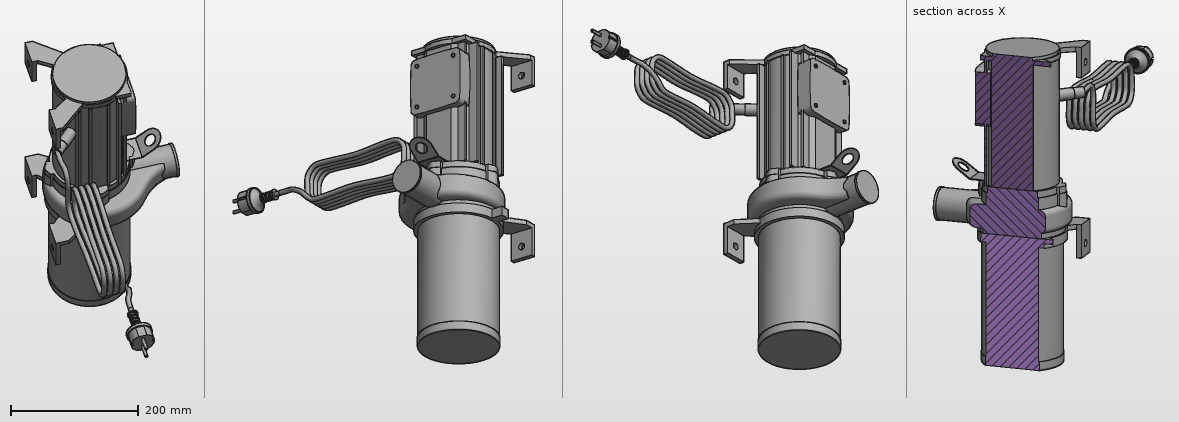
import cadquery as cq
import math

TOTAL_HEIGHT = 512.0
TUBE_COLLAR_HEIGHT = 15.0
BASE_RING_HEIGHT = 15.5
BASE_TOP = 216.7
VOLUTE_BOTTOM = 223.7
VOLUTE_HEIGHT = 40.0
VOLUTE_MID = VOLUTE_BOTTOM + VOLUTE_HEIGHT / 2
COVER_BOTTOM = 283.0
CASING_TOP = 293.7
CAP_HEIGHT = 5.0
BRACKET_TOP = TOTAL_HEIGHT - CAP_HEIGHT

BRACKET_THICKNESS = 8.0
FOOT_FACE_Y = -80.0
FOOT_OUTER_X = 90.0
FOOT_INNER_X = 50.0
FOOT_HOLE_X = 70.0
FOOT_HOLE_DIAMETER = 11.0
UPPER_HOLE_DROP = 29.0
UPPER_FOOT_HEIGHT = 50.0
LOWER_FOOT_HEIGHT = 55.0
LOWER_HOLE_DROP = 34.8

TUBE_RADIUS = 64.5
TUBE_COLLAR_RADIUS = 65.5
TUBE_EDGE_FILLET = 3.0
BASE_RING_RADIUS = 71.0
STOP_BLOCK_WIDTH = 17.0
STOP_BLOCK_Y = -1.0

NECK_RADIUS = 68.0
VOLUTE_RADIUS = 83.3
VOLUTE_CENTER = (7.0, 8.0)
VOLUTE_FILLET = 10.0
SCROLL_START_ANGLE = 100.0
WEB_START_ANGLE = 55.0
WEB_END = (24.0, 117.0)
WEB_END_WIDTH = 12.0
PIPE_DIAMETER = 52.0
PIPE_RIM_DIAMETER = 54.08
PIPE_RIM_LENGTH = 4.0
PIPE_END_Y = 140.0
RING_RADIUS = 64.5
COVER_RADIUS = 63.0
LUG_REACH = 73.5
COVER_LUG_REACH = 72.5
LUG_HALF_WIDTH = 13.0
LUG_SHOULDER = 67.0
LUG_TIP_HALF_WIDTH = 6.0
LUG_TIP_BULGE = 2.0

EYE_WIDTH = 40.0
EYE_HOLE_DIAMETER = 20.0
EYE_THICKNESS = 1.6
EYE_BEND_Y = 81.3
EYE_SLOPE = 35.5
EYE_LENGTH = 42.8

BARREL_RADIUS = 58.0
BARREL_BACK_Y = 53.0
CAP_DIAMETER = 115.53
PLATE_RADIUS = 60.0
PLATE_HALF_WIDTH = 52.5
PLATE_BACK_Y = 53.8
FIN_THICKNESS = 4.5
FINS = [(-33.0, 61.5), (-15.0, 60.0), (15.0, 60.0), (33.0, 61.5), (45.2, 47.0)]

BOX_HALF_SIZE = 48.5
BOX_BOW = 1.5
BOX_CORNER_RADIUS = 8.5
BOX_CENTER_Z = 437.0
BOX_BACK_Y = 62.5
BOX_FRONT_Y = 36.5
BOX_SCREW_DIAMETER = 6.3
BOX_SCREW_SPACING = 70.5
BOX_SCREW_HEIGHT = 1.5

GLAND_Z = 427.0
GLAND_BOSS_DIAMETER = 19.16
GLAND_NUT_DIAMETER = 17.53
GLAND_BOSS_END = 86.4
GLAND_NUT_END = 104.6
GLAND_ANGLE = -45.0

CABLE_DIAMETER = 8.09
CABLE_START_X = 70.0
CABLE_START_Y = -73.0
CABLE_STRAIGHT_END_X = 90.0
COIL_LEFT = 128.5
COIL_RIGHT = 320.0
COIL_BOTTOM = 346.5
COIL_TOP = 410.5
COIL_CORNER = 24.0
COIL_WAIST = 4.0
COIL_START_Y = -71.0
COIL_PITCH = 10.2
COIL_TURNS = 4

PLUG_Y = -37.2
PLUG_Z = 381.8
PLUG_START_X = 374.0
GRIP_START_X = 383.5
GRIP_END_X = 408.0
FLANGE_START_X = 419.7
FLANGE_END_X = 425.5
PLUG_FACE_X = 444.0
PIN_END_X = 465.4
GRIP_DIAMETER = 12.5
GRIP_RIB_DIAMETER = 15.0
GRIP_COLLAR_DIAMETER = 17.0
GRIP_RIB_WIDTH = 2.5
GRIP_RIB_PITCH = 6.5
GRIP_RIBS = 3
PLUG_NECK_DIAMETER = 17.0
PLUG_FLANGE_DIAMETER = 41.5
FLARE_MIDDLE = (415.0, 12.5)
FLARE_STEP = 2.0
PLUG_BODY_DIAMETER = 38.0
PIN_DIAMETER = 5.0
PIN_SPACING = 19.0
PIN_CHAMFER = 1.0
PLUG_FLAT_WIDTH = 17.0
PLUG_FLAT_DEPTH = 1.2
EARTH_SLOT_WIDTH = 4.0
EARTH_SLOT_DEPTH = 2.5
EARTH_SLOT_LENGTH = 15.5


def cylinder(radius, bottom, top):
    return cq.Workplane("XY", origin=(0, 0, bottom)).circle(radius).extrude(top - bottom)


def box(x0, x1, y0, y1, z0, z1):
    return cq.Workplane("XY", origin=(x0, y0, z0)).box(x1 - x0, y1 - y0, z1 - z0, centered=False)


def rod_x(diameter, x0, x1, y, z):
    return cq.Workplane("YZ", origin=(x0, y, z)).circle(diameter / 2).extrude(x1 - x0)


def rod_y(diameter, y0, y1, x, z):
    return cq.Workplane("XZ", origin=(x, y0, z)).circle(diameter / 2).extrude(y0 - y1)


def bracket_feet(top, arm_outline, foot_height, hole_drop):
    """Two mirrored arms, each bent down into a drilled mounting foot."""
    arm = cq.Workplane("XY", origin=(0, 0, top - BRACKET_THICKNESS)).polyline(arm_outline).close()
    foot_back = FOOT_FACE_Y + BRACKET_THICKNESS
    foot = box(FOOT_INNER_X, FOOT_OUTER_X, FOOT_FACE_Y, foot_back, top - foot_height, top)
    hole = rod_y(FOOT_HOLE_DIAMETER, FOOT_FACE_Y, foot_back, FOOT_HOLE_X, top - hole_drop)
    right = arm.extrude(BRACKET_THICKNESS).union(foot).cut(hole)
    return right.union(right.mirror("YZ"))


def make_base():
    collar = cylinder(TUBE_COLLAR_RADIUS, 0, TUBE_COLLAR_HEIGHT).faces("<Z").edges().fillet(TUBE_EDGE_FILLET)
    ring_bottom = BASE_TOP - BASE_RING_HEIGHT
    tube = cylinder(TUBE_RADIUS, 0, ring_bottom)
    ring = cylinder(BASE_RING_RADIUS, ring_bottom, BASE_TOP)
    block_front = STOP_BLOCK_Y - STOP_BLOCK_WIDTH / 2
    block_back = STOP_BLOCK_Y + STOP_BLOCK_WIDTH / 2
    stop_block = box(-FOOT_OUTER_X, 0, block_front, block_back, ring_bottom, BASE_TOP)
    arm_outline = [
        (40, 0),
        (66.5, -25),
        (FOOT_OUTER_X, -58.5),
        (FOOT_OUTER_X, FOOT_FACE_Y),
        (FOOT_INNER_X, FOOT_FACE_Y),
        (FOOT_INNER_X, -72),
        (38, -60),
        (20, -40),
    ]
    feet = bracket_feet(BASE_TOP, arm_outline, LOWER_FOOT_HEIGHT, LOWER_HOLE_DROP)
    return collar.union(tube).union(ring).union(stop_block).union(feet)


def lugged_ring(radius, lug_reach, bottom, top):
    """Round ring with four pointed clamping lugs at right angles."""
    ring = cylinder(radius, bottom, top)
    tip_start = lug_reach - LUG_TIP_BULGE
    lug = (
        cq.Workplane("XY", origin=(0, 0, bottom))
        .moveTo(0, -LUG_HALF_WIDTH)
        .lineTo(LUG_SHOULDER, -LUG_HALF_WIDTH)
        .lineTo(tip_start, -LUG_TIP_HALF_WIDTH)
        .threePointArc((lug_reach, 0), (tip_start, LUG_TIP_HALF_WIDTH))
        .lineTo(LUG_SHOULDER, LUG_HALF_WIDTH)
        .lineTo(0, LUG_HALF_WIDTH)
        .close()
        .extrude(top - bottom)
    )
    for quarter in range(4):
        ring = ring.union(lug.rotate((0, 0, 0), (0, 0, 1), 90 * quarter))
    return ring


def make_volute():
    def scroll_point(angle):
        x = VOLUTE_CENTER[0] + VOLUTE_RADIUS * math.cos(math.radians(angle))
        y = VOLUTE_CENTER[1] + VOLUTE_RADIUS * math.sin(math.radians(angle))
        return (x, y)

    scroll = (
        cq.Workplane("XY", origin=(0, 0, VOLUTE_BOTTOM))
        .moveTo(*scroll_point(SCROLL_START_ANGLE))
        .threePointArc(scroll_point(225), scroll_point(WEB_START_ANGLE))
        .tangentArcPoint(WEB_END, relative=False)
        .lineTo(WEB_END[0] - WEB_END_WIDTH, WEB_END[1])
        .close()
        .extrude(VOLUTE_HEIGHT)
        .faces("<Z or >Z")
        .edges("%CIRCLE")
        .fillet(VOLUTE_FILLET)
    )
    pipe = rod_y(PIPE_DIAMETER, VOLUTE_CENTER[1], PIPE_END_Y, 0, VOLUTE_MID)
    rim = rod_y(PIPE_RIM_DIAMETER, PIPE_END_Y - PIPE_RIM_LENGTH, PIPE_END_Y, 0, VOLUTE_MID)
    return scroll.union(pipe).union(rim)


def make_lifting_eye():
    """Flat tongue on the casing top, bent up at the back into a rounded eye."""
    half = EYE_WIDTH / 2
    tongue = box(-half, half, BARREL_BACK_Y, EYE_BEND_Y, CASING_TOP, CASING_TOP + EYE_THICKNESS)
    straight = EYE_LENGTH - half
    slope = math.radians(EYE_SLOPE)
    tilted = cq.Plane(
        origin=(0, EYE_BEND_Y, CASING_TOP),
        xDir=(1, 0, 0),
        normal=(0, -math.sin(slope), math.cos(slope)),
    )
    eye = (
        cq.Workplane(tilted)
        .moveTo(-half, 0)
        .lineTo(half, 0)
        .lineTo(half, straight)
        .threePointArc((0, EYE_LENGTH), (-half, straight))
        .close()
        .extrude(EYE_THICKNESS)
    )
    hole = cq.Workplane(tilted).center(0, straight).circle(EYE_HOLE_DIAMETER / 2).extrude(EYE_THICKNESS)
    return tongue.union(eye.cut(hole))


def make_casing():
    neck = cylinder(NECK_RADIUS, BASE_TOP, VOLUTE_MID)
    clamp_ring = lugged_ring(RING_RADIUS, LUG_REACH, VOLUTE_MID, COVER_BOTTOM)
    cover = lugged_ring(COVER_RADIUS, COVER_LUG_REACH, COVER_BOTTOM, CASING_TOP)
    return neck.union(make_volute()).union(clamp_ring).union(cover).union(make_lifting_eye())


def make_barrel():
    plate_bottom = BRACKET_TOP - BRACKET_THICKNESS
    barrel = cylinder(BARREL_RADIUS, CASING_TOP, plate_bottom)
    for y, tip in FINS:
        half = FIN_THICKNESS / 2
        barrel = barrel.union(box(-tip, tip, y - half, y + half, CASING_TOP, plate_bottom))
    behind = box(-BARREL_RADIUS, BARREL_RADIUS, BARREL_BACK_Y, 2 * BARREL_BACK_Y, CASING_TOP, plate_bottom)
    return barrel.cut(behind)


def make_upper_bracket():
    plate_bottom = BRACKET_TOP - BRACKET_THICKNESS
    disc = cylinder(PLATE_RADIUS, plate_bottom, BRACKET_TOP)
    back = box(-PLATE_HALF_WIDTH, PLATE_HALF_WIDTH, 0, PLATE_BACK_Y, plate_bottom, BRACKET_TOP)
    arm_outline = [
        (30, 0),
        (51.5, -24),
        (FOOT_OUTER_X, -68),
        (FOOT_OUTER_X, FOOT_FACE_Y),
        (FOOT_INNER_X, FOOT_FACE_Y),
        (FOOT_INNER_X, -70),
        (35, -48.5),
        (15, -30),
    ]
    feet = bracket_feet(BRACKET_TOP, arm_outline, UPPER_FOOT_HEIGHT, UPPER_HOLE_DROP)
    cap = cylinder(CAP_DIAMETER / 2, BRACKET_TOP, TOTAL_HEIGHT)
    return disc.union(back).union(feet).union(cap)


def make_terminal_box():
    corner = BOX_HALF_SIZE - BOX_BOW
    side = BOX_HALF_SIZE
    housing = (
        cq.Workplane("XZ", origin=(0, BOX_BACK_Y, BOX_CENTER_Z))
        .moveTo(-corner, -corner)
        .threePointArc((0, -side), (corner, -corner))
        .threePointArc((side, 0), (corner, corner))
        .threePointArc((0, side), (-corner, corner))
        .threePointArc((-side, 0), (-corner, -corner))
        .close()
        .extrude(BOX_BACK_Y - BOX_FRONT_Y)
        .edges("|Y")
        .fillet(BOX_CORNER_RADIUS)
    )
    screws = (
        cq.Workplane("XZ", origin=(0, BOX_BACK_Y, BOX_CENTER_Z))
        .rect(BOX_SCREW_SPACING, BOX_SCREW_SPACING, forConstruction=True)
        .vertices()
        .circle(BOX_SCREW_DIAMETER / 2)
        .extrude(-BOX_SCREW_HEIGHT)
    )
    return housing.union(screws)


def make_gland():
    boss = rod_x(GLAND_BOSS_DIAMETER, 0, GLAND_BOSS_END, 0, GLAND_Z)
    nut = rod_x(GLAND_NUT_DIAMETER, GLAND_BOSS_END, GLAND_NUT_END, 0, GLAND_Z)
    gland = boss.union(nut).rotate((0, 0, 0), (0, 0, 1), GLAND_ANGLE)
    return gland.cut(rod_x(CABLE_DIAMETER, CABLE_START_X, CABLE_STRAIGHT_END_X, CABLE_START_Y, GLAND_Z))


def make_motor():
    return make_barrel().union(make_upper_bracket()).union(make_terminal_box()).union(make_gland())


def coil_point(x, z, turn):
    """Point on the coil, which advances in Y by one pitch per turn."""
    return cq.Vector(x, COIL_START_Y + COIL_PITCH * turn, z)


def cable_path(points, start_tangent, end_tangent):
    """Smooth curve through the points, with a set direction at each end."""
    return cq.Edge.makeSpline(points, tangents=[start_tangent, end_tangent])


CORNER_CUT = COIL_CORNER * (1 - math.sqrt(0.5))
COIL_MIDDLE = (COIL_LEFT + COIL_RIGHT) / 2
COIL_JOINT_Z = COIL_BOTTOM + COIL_CORNER
UP = cq.Vector(0, 0, 1)
DOWN = cq.Vector(0, 0, -1)
ALONG_X = cq.Vector(1, 0, 0)

BOTTOM_LEFT = coil_point(COIL_LEFT + COIL_CORNER, COIL_BOTTOM, 0.1)
BOTTOM_RIGHT = coil_point(COIL_RIGHT - COIL_CORNER, COIL_BOTTOM, 0.4)
TOP_LEFT = coil_point(COIL_LEFT + COIL_CORNER, COIL_TOP, 0.85)
TOP_RIGHT = coil_point(COIL_RIGHT - COIL_CORNER, COIL_TOP, 0.65)
LEFT_LOW = coil_point(COIL_LEFT, COIL_JOINT_Z, 0)
LEFT_HIGH = coil_point(COIL_LEFT, COIL_TOP - COIL_CORNER, 0.95)
RIGHT_LOW = coil_point(COIL_RIGHT, COIL_JOINT_Z, 0.5)
RIGHT_HIGH = coil_point(COIL_RIGHT, COIL_TOP - COIL_CORNER, 0.55)
BOTTOM_RUN = [
    (
        [LEFT_LOW, coil_point(COIL_LEFT + CORNER_CUT, COIL_BOTTOM + CORNER_CUT, 0.05), BOTTOM_LEFT],
        DOWN,
        ALONG_X,
    ),
    (
        [BOTTOM_LEFT, coil_point(COIL_MIDDLE, COIL_BOTTOM + COIL_WAIST, 0.25), BOTTOM_RIGHT],
        ALONG_X,
        ALONG_X,
    ),
]
REST_OF_TURN = [
    (
        [BOTTOM_RIGHT, coil_point(COIL_RIGHT - CORNER_CUT, COIL_BOTTOM + CORNER_CUT, 0.45), RIGHT_LOW],
        ALONG_X,
        UP,
    ),
    ([RIGHT_LOW, RIGHT_HIGH], UP, UP),
    (
        [RIGHT_HIGH, coil_point(COIL_RIGHT - CORNER_CUT, COIL_TOP - CORNER_CUT, 0.6), TOP_RIGHT],
        UP,
        -ALONG_X,
    ),
    (
        [TOP_RIGHT, coil_point(COIL_MIDDLE, COIL_TOP - COIL_WAIST, 0.75), TOP_LEFT],
        -ALONG_X,
        -ALONG_X,
    ),
    (
        [TOP_LEFT, coil_point(COIL_LEFT + CORNER_CUT, COIL_TOP - CORNER_CUT, 0.9), LEFT_HIGH],
        -ALONG_X,
        DOWN,
    ),
    ([LEFT_HIGH, coil_point(COIL_LEFT, COIL_JOINT_Z, 1)], DOWN, DOWN),
]


def make_cable():
    lead_points = [
        cq.Vector(CABLE_STRAIGHT_END_X, CABLE_START_Y, GLAND_Z),
        cq.Vector(110, COIL_START_Y, GLAND_Z),
        cq.Vector(123, COIL_START_Y, 422),
        cq.Vector(COIL_LEFT, COIL_START_Y, 410),
        LEFT_LOW,
    ]
    cable_start = cq.Vector(CABLE_START_X, CABLE_START_Y, GLAND_Z)
    edges = [
        cq.Edge.makeLine(cable_start, lead_points[0]),
        cable_path(lead_points, ALONG_X, DOWN),
    ]
    bottom = [cable_path(*piece) for piece in BOTTOM_RUN]
    rest = [cable_path(*piece) for piece in REST_OF_TURN]
    for turn in range(COIL_TURNS):
        advance = cq.Vector(0, COIL_PITCH * turn, 0)
        edges += [edge.translate(advance) for edge in bottom + rest]

    last_turn = cq.Vector(0, COIL_PITCH * COIL_TURNS, 0)
    edges += [edge.translate(last_turn) for edge in bottom]
    tail_points = [
        BOTTOM_RIGHT + last_turn,
        cq.Vector(312, -25, 353),
        cq.Vector(327, -27, 367.5),
        cq.Vector(345, -32, 378),
        cq.Vector(PLUG_START_X, PLUG_Y, PLUG_Z),
    ]
    edges.append(cable_path(tail_points, ALONG_X, ALONG_X))
    path = cq.Wire.assembleEdges(edges)
    start = cq.Plane(origin=cable_start, normal=ALONG_X)
    return cq.Workplane(start).circle(CABLE_DIAMETER / 2).sweep(cq.Workplane(path))


def make_plug():
    def on_axis(diameter, x0, x1):
        return rod_x(diameter, x0, x1, PLUG_Y, PLUG_Z)

    plug = on_axis(CABLE_DIAMETER, PLUG_START_X, GRIP_START_X)
    plug = plug.union(on_axis(GRIP_DIAMETER, GRIP_START_X, GRIP_END_X))
    plug = plug.union(on_axis(GRIP_COLLAR_DIAMETER, GRIP_START_X, GRIP_START_X + GRIP_RIB_WIDTH))
    for rib in range(1, GRIP_RIBS + 1):
        rib_x = GRIP_START_X + rib * GRIP_RIB_PITCH
        plug = plug.union(on_axis(GRIP_RIB_DIAMETER, rib_x, rib_x + GRIP_RIB_WIDTH))

    neck = PLUG_NECK_DIAMETER / 2
    rim = PLUG_FLANGE_DIAMETER / 2
    flare = (
        cq.Workplane("XY", origin=(0, PLUG_Y, PLUG_Z))
        .moveTo(GRIP_END_X, 0)
        .lineTo(GRIP_END_X, neck)
        .threePointArc(FLARE_MIDDLE, (FLANGE_START_X, rim - FLARE_STEP))
        .lineTo(FLANGE_START_X, 0)
        .close()
        .revolve(360, (0, 0, 0), (1, 0, 0))
    )
    plug = plug.union(flare).union(on_axis(PLUG_FLANGE_DIAMETER, FLANGE_START_X, FLANGE_END_X))

    body = on_axis(PLUG_BODY_DIAMETER, FLANGE_END_X, PLUG_FACE_X)
    radius = PLUG_BODY_DIAMETER / 2
    half_flat = PLUG_FLAT_WIDTH / 2
    half_slot = EARTH_SLOT_WIDTH / 2
    for side in (-1, 1):
        flat_z = sorted((PLUG_Z + side * (radius - PLUG_FLAT_DEPTH), PLUG_Z + side * 2 * radius))
        body = body.cut(
            box(FLANGE_END_X, PLUG_FACE_X, PLUG_Y - half_flat, PLUG_Y + half_flat, *flat_z)
        )
        slot_y = sorted((PLUG_Y + side * (radius - EARTH_SLOT_DEPTH), PLUG_Y + side * 2 * radius))
        body = body.cut(
            box(PLUG_FACE_X - EARTH_SLOT_LENGTH, PLUG_FACE_X, *slot_y, PLUG_Z - half_slot, PLUG_Z + half_slot)
        )
        pin = rod_x(PIN_DIAMETER, PLUG_FACE_X, PIN_END_X, PLUG_Y, PLUG_Z + side * PIN_SPACING / 2)
        body = body.union(pin.faces(">X").chamfer(PIN_CHAMFER))
    return plug.union(body)


base = make_base()
casing = make_casing()
cable = make_cable()
motor = make_motor()
plug = make_plug()

result = cq.Compound.makeCompound([base.val(), casing.val(), motor.val(), cable.val(), plug.val()])